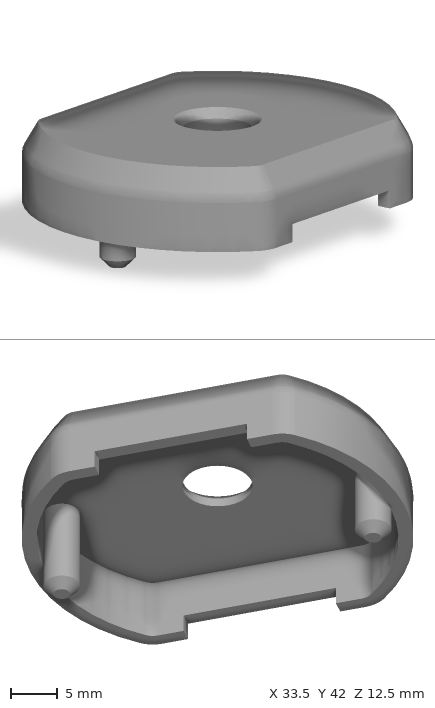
import cadquery as cq
import math

body_length = 42.0
body_width = 33.5
body_height = 9.0
corner_radius = 3.5

bevel_height = 3.0
bevel_angle = 30.0
bevel_blend_radius = 2.0

wall = 1.6
roof = 2.0
pocket_height = body_height - roof

notch_length = 17.1
notch_height = 2.0

hole_diameter = 7.5
countersink_depth = 1.0

pin_diameter = 3.9
pin_spacing = 35.0
pin_protrusion = 3.53
pin_tip_chamfer = 1.05


def flatted_disc(inset, z):
    """Closed outline of the body, moved inward by inset, drawn at height z."""
    disc_radius = body_length / 2 - inset
    half_width = body_width / 2 - inset
    round_radius = corner_radius - inset

    center_x = half_width - round_radius
    center_y = math.sqrt((disc_radius - round_radius) ** 2 - center_x ** 2)
    direction = math.atan2(center_y, center_x)
    arc_x = disc_radius * math.cos(direction)
    arc_y = disc_radius * math.sin(direction)
    mid_x = center_x + round_radius * math.cos(direction / 2)
    mid_y = center_y + round_radius * math.sin(direction / 2)

    return (
        cq.Workplane("XY", origin=(0, 0, z))
        .moveTo(half_width, -center_y)
        .lineTo(half_width, center_y)
        .threePointArc((mid_x, mid_y), (arc_x, arc_y))
        .threePointArc((0, disc_radius), (-arc_x, arc_y))
        .threePointArc((-mid_x, mid_y), (-half_width, center_y))
        .lineTo(-half_width, -center_y)
        .threePointArc((-mid_x, -mid_y), (-arc_x, -arc_y))
        .threePointArc((0, -disc_radius), (arc_x, -arc_y))
        .threePointArc((mid_x, -mid_y), (half_width, -center_y))
        .close()
    )


def make_body():
    """Solid body with its sloped border blended into the upright side."""
    side_height = body_height - bevel_height
    side = flatted_disc(0, 0).extrude(side_height)
    border = flatted_disc(0, side_height).extrude(bevel_height, taper=bevel_angle)
    tolerance = 0.005
    shoulder = cq.selectors.BoxSelector(
        (-body_length, -body_length, side_height - tolerance),
        (body_length, body_length, side_height + tolerance),
    )
    return side.union(border).edges(shoulder).fillet(bevel_blend_radius)


def make_notches():
    """Bar along X that opens both flat walls at the bottom rim."""
    return cq.Workplane("XY").box(body_width, notch_length, notch_height, centered=(True, True, False))


def make_center_hole():
    """Through hole with a 45 degree countersink in the top face."""
    hole_radius = hole_diameter / 2
    mouth_radius = hole_radius + countersink_depth
    return (
        cq.Workplane("XZ")
        .lineTo(hole_radius, 0)
        .lineTo(hole_radius, body_height - countersink_depth)
        .lineTo(mouth_radius, body_height)
        .lineTo(0, body_height)
        .close()
        .revolve(360, (0, 0), (0, 1))
    )


def make_pins():
    """Two pins on the Y axis, each with a chamfered lower end."""
    return (
        cq.Workplane("XY", origin=(0, 0, -pin_protrusion))
        .pushPoints([(0, -pin_spacing / 2), (0, pin_spacing / 2)])
        .circle(pin_diameter / 2)
        .extrude(pin_protrusion + pocket_height)
        .faces("<Z")
        .chamfer(pin_tip_chamfer)
    )


pocket = flatted_disc(wall, 0).extrude(pocket_height)

result = (
    make_body()
    .cut(pocket)
    .cut(make_notches())
    .cut(make_center_hole())
    .union(make_pins())
)